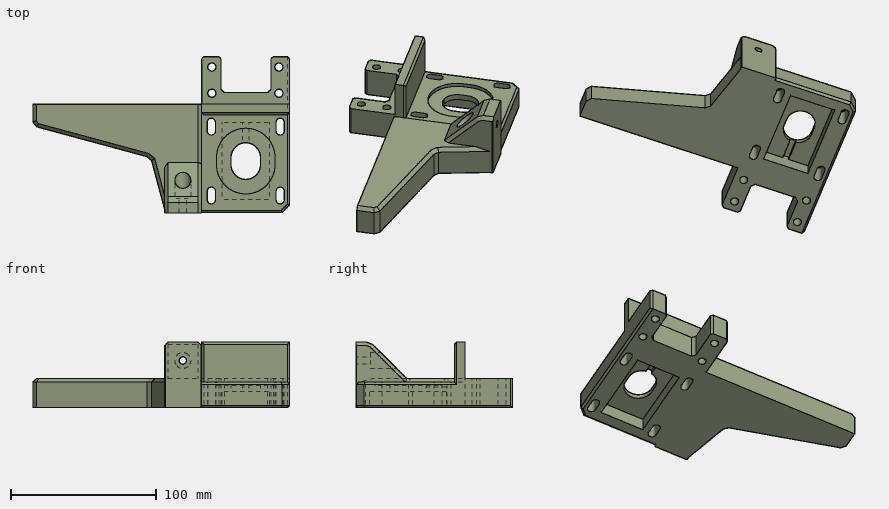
import cadquery as cq
total_length = 176.1
total_depth = 107.5
total_height = 45.0

arm_height = 20.0
edge_chamfer = 2.5
plate_height = arm_height - edge_chamfer

plate_left = 115.7
plate_width = total_length - plate_left
plate_front = 0.4
plate_back = 74.8
plate_chamfer = 1.5
plate_corner = 5.3

motor_x = 146.0
motor_y = 35.8
slot_travel = 5.0
bore_width = 20.0
recess_width = 40.2
recess_depth = 2.5
screw_diameter = 5.5
screw_spacing = 47.2
screw_travel = 6.0

cavity_width = 32.4
cavity_length = 52.8
cavity_height = 11.1

groove_width = 4.2
groove_top = 14.3

wall_thickness = 7.4

notch_left = 129.1
notch_width = 34.2
notch_bottom = 82.8
notch_corner = 2.3
leg_corner = 1.5
leg_hole_x = 122.7
leg_hole_y = 82.2
leg_hole_spacing_x = 46.0
leg_hole_spacing_y = 18.0

arm_tip_front = 62.5
arm_tip_blunt = (2.6, 59.2)
arm_elbow_start = (78.2, 38.7)
arm_elbow_end = (81.4, 36.1)
arm_foot_y = 2.5

bracket_left = 90.3
bracket_width = plate_left - bracket_left
bracket_top_depth = 9.9
bracket_front_chamfer = 0.5
pivot_x = 102.8
pivot_z = 32.4
pivot_diameter = 5.0
pivot_counterbore = 11.0
pivot_wall = 10.0


def box(x, y, z, length, depth, height):
    """Box placed by its lowest corner."""
    return cq.Workplane("XY").box(length, depth, height, centered=False).translate((x, y, z))


def upright_slot(x, y, width, travel, bottom, height):
    """Slot cutter with vertical walls, elongated along Y."""
    sketch = cq.Workplane("XY", origin=(x, y, bottom))
    return sketch.slot2D(width + travel, width, 90).extrude(height)


def upright_hole(x, y):
    """Round screw hole cutter through the legs."""
    return cq.Workplane("XY", origin=(x, y, 0)).circle(screw_diameter / 2).extrude(arm_height)


def make_arm():
    outline = [
        (0, plate_back),
        (0, arm_tip_front),
        arm_tip_blunt,
        arm_elbow_start,
        arm_elbow_end,
        (bracket_left, arm_foot_y),
        (plate_left, arm_foot_y),
        (plate_left, plate_back),
    ]
    arm = cq.Workplane("XY").polyline(outline).close().extrude(arm_height)
    return arm.faces(">Z").edges("not >Y").chamfer(edge_chamfer)


def make_bracket():
    slope_back = bracket_top_depth + total_height - arm_height
    profile = [
        (0, 0),
        (slope_back, 0),
        (slope_back, arm_height),
        (bracket_top_depth, total_height),
        (0, total_height),
    ]
    bracket = cq.Workplane("YZ", origin=(bracket_left, 0, 0)).polyline(profile).close().extrude(bracket_width)
    upper_edges = cq.selectors.BoxSelector(
        (bracket_left - 1.8, 1.8, arm_height + 1.8), (plate_left + 1.8, slope_back - 1.8, total_height + 1.8)
    )
    bracket = bracket.edges(upper_edges).chamfer(edge_chamfer)
    return bracket.faces("<Y").edges("|Z").chamfer(bracket_front_chamfer)


def make_plate():
    plate = box(plate_left, plate_front, 0, plate_width, plate_back - plate_front, plate_height)
    plate = plate.edges("|Z and >X and <Y").chamfer(plate_corner)
    return plate.faces("<Z or >Z").edges("not(<X or >Y)").chamfer(plate_chamfer)


def make_wall():
    bottom = plate_height - plate_chamfer
    wall = box(
        plate_left,
        plate_back - wall_thickness,
        bottom,
        plate_width,
        wall_thickness,
        total_height - bottom,
    )
    return wall.faces("<Y").edges("not <Z").chamfer(plate_chamfer)


def make_legs():
    legs = box(plate_left, plate_back, 0, plate_width, total_depth - plate_back, arm_height)
    notch = box(notch_left, notch_bottom, 0, notch_width, total_depth - notch_bottom, arm_height)
    notch = notch.edges("|Z and <Y").chamfer(notch_corner)
    legs = legs.cut(notch).edges("|Z and >Y").chamfer(leg_corner)
    legs = legs.faces("<Z").edges(">X").chamfer(plate_chamfer)
    for x in (leg_hole_x, leg_hole_x + leg_hole_spacing_x):
        for y in (leg_hole_y, leg_hole_y + leg_hole_spacing_y):
            legs = legs.cut(upright_hole(x, y))
    return legs


def cut_motor_mount(body):
    recess = upright_slot(
        motor_x, motor_y, recess_width, slot_travel, plate_height - recess_depth, recess_depth
    )
    bore = upright_slot(motor_x, motor_y, bore_width, slot_travel, 0, plate_height)
    cavity = box(
        motor_x - cavity_width / 2,
        motor_y - cavity_length / 2,
        0,
        cavity_width,
        cavity_length,
        cavity_height,
    )
    groove = box(
        motor_x - groove_width / 2,
        motor_y,
        0,
        groove_width,
        cavity_length / 2,
        groove_top,
    )
    body = body.cut(recess).cut(bore).cut(cavity).cut(groove)
    for side_x in (-1, 1):
        for side_y in (-1, 1):
            x = motor_x + side_x * screw_spacing / 2
            y = motor_y + side_y * screw_spacing / 2
            body = body.cut(upright_slot(x, y, screw_diameter, screw_travel, 0, plate_height))
    return body


def cut_pivot(body):
    front = cq.Workplane("XZ", origin=(pivot_x, 0, pivot_z))
    hole = front.circle(pivot_diameter / 2).extrude(-plate_back / 2)
    counterbore = front.workplane(offset=-pivot_wall).circle(pivot_counterbore / 2).extrude(-plate_back / 2)
    return body.cut(hole).cut(counterbore)


motor_side = make_plate().union(make_wall()).union(make_legs())
body = motor_side.union(make_arm()).union(cut_pivot(make_bracket()))
result = cut_motor_mount(body)